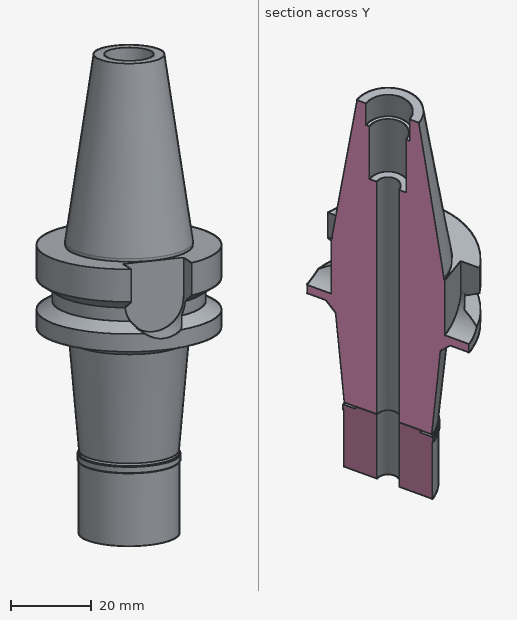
import cadquery as cq

total_height = 123.4
taper_base_z = 75.2
flange_top_z = 74.3
upper_rim_bottom_z = 65.9
groove_top_z = 63.3
groove_bottom_z = 59.8
lower_rim_top_z = 57.6
lower_rim_bottom_z = 53.1
shoulder_bottom_z = 50.1
holder_bottom_z = 21.3
collar_top_z = 20.7
collar_bottom_z = 18.8

taper_top_radius = 8.82
taper_base_radius = 15.9
flange_radius = 23.01
groove_radius = 19.1
shoulder_top_radius = 17.6
body_top_radius = 14.9
body_bottom_radius = 12.5

neck_radius = 9.3
collar_radius = 12.8
nut_radius = 12.6
collar_chamfer = collar_radius - nut_radius

mouth_radius = 6.2
mouth_depth = 7.2
thread_radius = 5.2
thread_depth = 24.7
through_radius = 3.15

slot_width = 16.2
slot_floor_x = 16.2
slot_bottom_z = 56.0


def turned(profile):
    """Revolve a (radius, height) outline about the vertical axis."""
    return cq.Workplane("XZ").polyline(profile).close().revolve(360, (0, 0, 0), (0, 1, 0))


def make_drive_slot(side):
    """Round-bottomed cutter, running outward from the slot floor on one side."""
    arc_center_z = slot_bottom_z + slot_width / 2
    half_width = slot_width / 2
    reach = side * flange_radius
    return (
        cq.Workplane("YZ", origin=(side * slot_floor_x, 0, 0))
        .moveTo(-half_width, flange_top_z)
        .lineTo(-half_width, arc_center_z)
        .threePointArc((0, slot_bottom_z), (half_width, arc_center_z))
        .lineTo(half_width, flange_top_z)
        .close()
        .extrude(reach)
    )


def make_bore():
    """Cutter for the stepped bore through both bodies."""
    mouth_floor_z = total_height - mouth_depth
    thread_floor_z = total_height - thread_depth
    return turned([
        (0, 0),
        (through_radius, 0),
        (through_radius, thread_floor_z),
        (thread_radius, thread_floor_z),
        (thread_radius, mouth_floor_z),
        (mouth_radius, mouth_floor_z),
        (mouth_radius, total_height),
        (0, total_height),
    ])


def make_holder():
    """Taper shank, grooved flange and tapering lower body."""
    holder = turned([
        (0, total_height),
        (taper_top_radius, total_height),
        (taper_base_radius, taper_base_z),
        (taper_base_radius, flange_top_z),
        (flange_radius, flange_top_z),
        (flange_radius, upper_rim_bottom_z),
        (groove_radius, groove_top_z),
        (groove_radius, groove_bottom_z),
        (flange_radius, lower_rim_top_z),
        (flange_radius, lower_rim_bottom_z),
        (shoulder_top_radius, lower_rim_bottom_z),
        (body_top_radius, shoulder_bottom_z),
        (body_bottom_radius, holder_bottom_z),
        (0, holder_bottom_z),
    ])
    for side in (-1, 1):
        holder = holder.cut(make_drive_slot(side))
    return holder.cut(make_bore())


def make_nut():
    """Cylindrical nut with a collar and a short neck seated against the holder."""
    nut = turned([
        (0, 0),
        (nut_radius, 0),
        (nut_radius, collar_bottom_z),
        (collar_radius, collar_bottom_z + collar_chamfer),
        (collar_radius, collar_top_z - collar_chamfer),
        (collar_radius - collar_chamfer, collar_top_z),
        (neck_radius, collar_top_z),
        (neck_radius, holder_bottom_z),
        (0, holder_bottom_z),
    ])
    return nut.cut(make_bore())


holder = make_holder()
nut = make_nut()
result = cq.Compound.makeCompound([holder.val(), nut.val()])